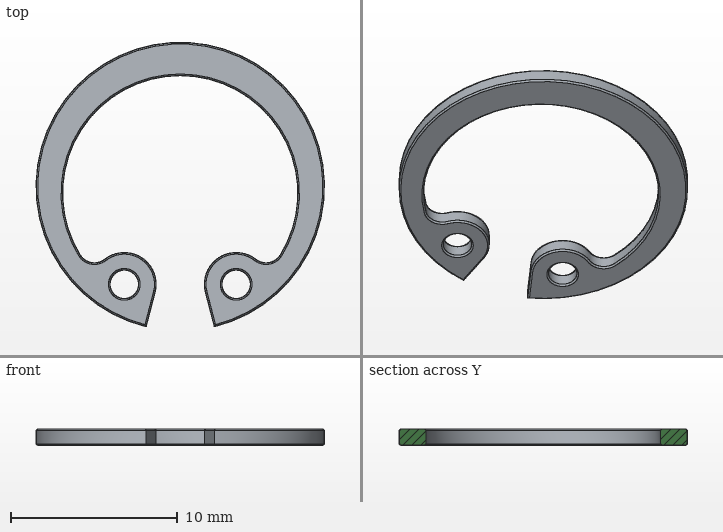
import cadquery as cq
import math

thickness = 1.0
edge_chamfer = 0.1
outer_radius = 8.65
inner_radius = 7.05
inner_center = (0.0, -0.4)
tip_half_gap = 2.045
lug_center = (3.355, -5.865)
lug_radius = 1.91
lug_hole_diameter = 1.7
root_fillet_radius = 1.0


def distance(a, b):
    return math.hypot(b[0] - a[0], b[1] - a[1])


def angle_to(a, b):
    """Direction from a to b, in radians."""
    return math.atan2(b[1] - a[1], b[0] - a[0])


def point_at(center, radius, angle):
    return (center[0] + radius * math.cos(angle), center[1] + radius * math.sin(angle))


def arc_middle(center, radius, start, end):
    """Middle of the shorter arc between two points of a circle."""
    chord_middle = ((start[0] + end[0]) / 2, (start[1] + end[1]) / 2)
    return point_at(center, radius, angle_to(center, chord_middle))


def mirrored(point):
    return (-point[0], point[1])


def blend_center():
    """Centre of the root fillet, inside the bore circle and outside the lug circle."""
    to_bore = inner_radius - root_fillet_radius
    to_lug = lug_radius + root_fillet_radius
    span = distance(inner_center, lug_center)
    bore_corner = math.acos((to_bore**2 + span**2 - to_lug**2) / (2 * to_bore * span))
    return point_at(inner_center, to_bore, angle_to(inner_center, lug_center) + bore_corner)


def ring_outline():
    tip = (tip_half_gap, -math.sqrt(outer_radius**2 - tip_half_gap**2))

    tangent_corner = math.acos(lug_radius / distance(lug_center, tip))
    lug_tangent = point_at(lug_center, lug_radius, angle_to(lug_center, tip) - tangent_corner)

    fillet_center = blend_center()
    lug_end = point_at(lug_center, lug_radius, angle_to(lug_center, fillet_center))
    bore_end = point_at(inner_center, inner_radius, angle_to(inner_center, fillet_center))

    lug_middle = arc_middle(lug_center, lug_radius, lug_tangent, lug_end)
    fillet_middle = arc_middle(fillet_center, root_fillet_radius, lug_end, bore_end)
    outer_top = (0, outer_radius)
    bore_top = (0, inner_center[1] + inner_radius)

    return (
        cq.Workplane("XY")
        .moveTo(*tip)
        .lineTo(*lug_tangent)
        .threePointArc(lug_middle, lug_end)
        .threePointArc(fillet_middle, bore_end)
        .threePointArc(bore_top, mirrored(bore_end))
        .threePointArc(mirrored(fillet_middle), mirrored(lug_end))
        .threePointArc(mirrored(lug_middle), mirrored(lug_tangent))
        .lineTo(*mirrored(tip))
        .threePointArc(outer_top, tip)
        .close()
    )


def make_ring():
    plate = ring_outline().extrude(thickness)
    drilled = (
        plate.faces(">Z")
        .workplane(origin=(0, 0, thickness))
        .pushPoints([lug_center, mirrored(lug_center)])
        .hole(lug_hole_diameter)
    )
    return drilled.faces("<Z or >Z").edges().chamfer(edge_chamfer)


result = make_ring()